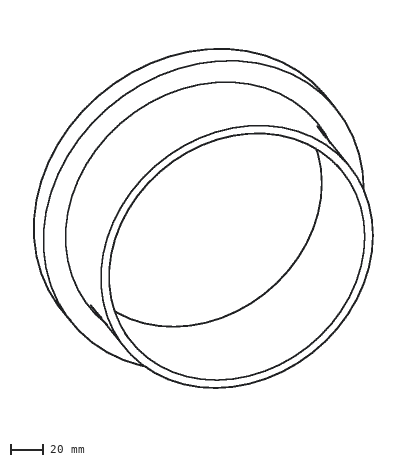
import cadquery as cq
import math

total_length = 80.0
flange_diameter = 212.0
flange_thickness = 18.0
sleeve_diameter = 180.0
bore_diameter = 169.0

shoulder_length = 5.0
shoulder_angle = 15.0

flange_radius = flange_diameter / 2
sleeve_radius = sleeve_diameter / 2
bore_radius = bore_diameter / 2
shoulder_end = flange_thickness + shoulder_length
shoulder_radius = sleeve_radius + shoulder_length * math.tan(math.radians(shoulder_angle))


def make_collar():
    """Revolve the half section (X along the axis, Y as radius) about the X axis."""
    half_section = (
        cq.Workplane("XY")
        .moveTo(0, bore_radius)
        .lineTo(0, flange_radius)
        .lineTo(flange_thickness, flange_radius)
        .lineTo(flange_thickness, shoulder_radius)
        .lineTo(shoulder_end, sleeve_radius)
        .lineTo(total_length, sleeve_radius)
        .lineTo(total_length, bore_radius)
        .close()
    )
    return half_section.revolve(360, (0, 0, 0), (1, 0, 0))


result = make_collar()